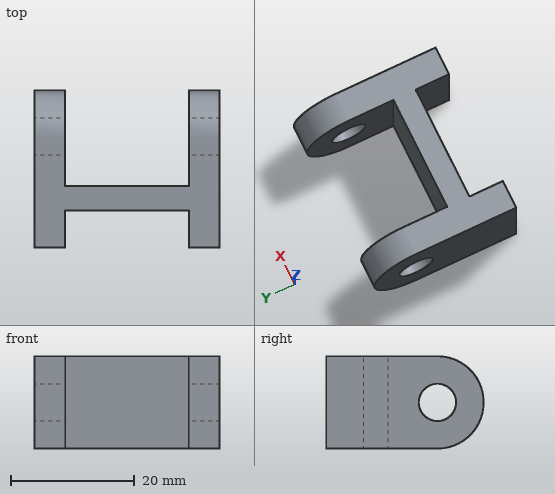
import cadquery as cq

width = 30.0
length = 25.5
height = 15.0

plate_thickness = width / 6
end_radius = height / 2
hole_diameter = 6.0

web_setback = 6.0
web_thickness = 4.0

pivot_y = length - end_radius


def side_plate(x_start):
    """Plate with a full-round end and a concentric pivot hole."""
    plate = (
        cq.Workplane("YZ", origin=(x_start, 0, 0))
        .lineTo(pivot_y, 0)
        .threePointArc((length, end_radius), (pivot_y, height))
        .lineTo(0, height)
        .close()
        .extrude(plate_thickness)
    )
    hole = (
        cq.Workplane("YZ", origin=(x_start, 0, 0))
        .center(pivot_y, end_radius)
        .circle(hole_diameter / 2)
        .extrude(plate_thickness)
    )
    return plate.cut(hole)


def cross_web():
    """Full-height wall spanning the gap between the plates."""
    span = width - 2 * plate_thickness
    return cq.Workplane("XY").box(span, web_thickness, height, centered=False).translate(
        (plate_thickness, web_setback, 0)
    )


result = cross_web()
for x_start in (0, width - plate_thickness):
    result = result.union(side_plate(x_start))